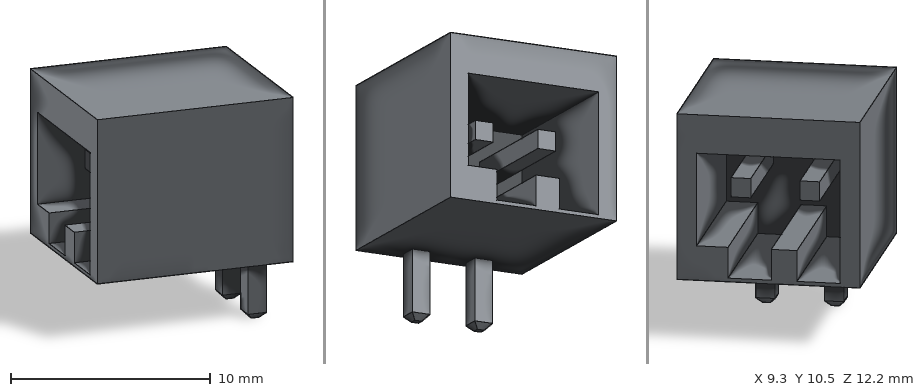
import cadquery as cq

width = 9.3
depth = 10.5
total_height = 12.2
pin_drop = 3.6
housing_height = total_height - pin_drop

side_wall = 1.0
top_wall = 2.0
floor_thickness = 0.2
socket_depth = 8.5
socket_width = width - 2 * side_wall
socket_left = -socket_width / 2

key_height = 1.6
corner_key_width = 1.6
centre_key_width = 1.3
key_slot_width = (socket_width - corner_key_width - centre_key_width) / 2
centre_key_left = socket_left + corner_key_width + key_slot_width

pin_size = 1.0
pin_pitch = 3.5
pin_centre_height = 4.35
pin_back_gap = 0.5
contact_length = 6.5
tip_height = 0.32
tip_size = 0.39


def box_at(x, y, z, length, breadth, height):
    """Box whose lowest corner is at (x, y, z)."""
    return cq.Workplane("XY").box(length, breadth, height, centered=False).translate((x, y, z))


def make_housing():
    socket_height = housing_height - top_wall - floor_thickness
    socket = box_at(socket_left, 0, floor_thickness, socket_width, socket_depth, socket_height)
    for key_left, key_width in (
        (socket_left, corner_key_width),
        (centre_key_left, centre_key_width),
    ):
        socket = socket.cut(box_at(key_left, 0, floor_thickness, key_width, socket_depth, key_height))
    housing = box_at(-width / 2, 0, 0, width, depth, housing_height)
    return housing.cut(socket)


def make_pin(x):
    """L-shaped pin: a contact inside the socket and a tapered leg below the housing."""
    contact = box_at(
        x - pin_size / 2,
        socket_depth - contact_length,
        pin_centre_height - pin_size / 2,
        pin_size,
        depth - pin_back_gap - socket_depth + contact_length,
        pin_size,
    )
    leg_y = depth - pin_back_gap - pin_size / 2
    leg_bottom = tip_height - pin_drop
    leg = box_at(
        x - pin_size / 2,
        leg_y - pin_size / 2,
        leg_bottom,
        pin_size,
        pin_size,
        pin_centre_height - leg_bottom,
    )
    tip = (
        cq.Workplane("XY", origin=(x, leg_y, -pin_drop))
        .rect(tip_size, tip_size)
        .workplane(offset=tip_height)
        .rect(pin_size, pin_size)
        .loft(ruled=True)
    )
    return contact.union(leg).union(tip)


result = make_housing()
for pin_x in (-pin_pitch / 2, pin_pitch / 2):
    result = result.union(make_pin(pin_x))